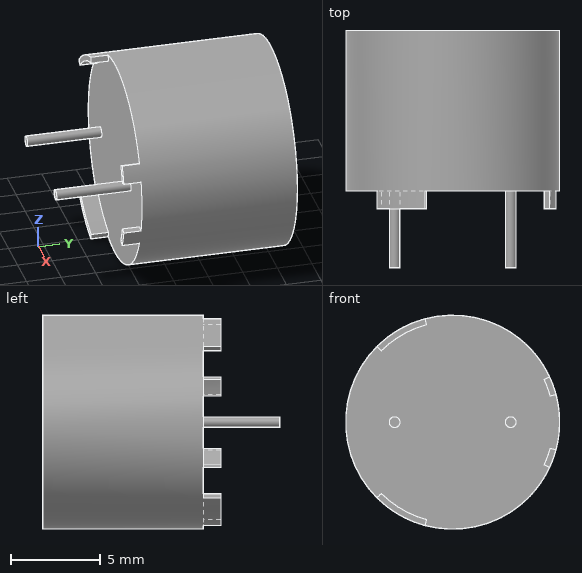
import cadquery as cq
import math

body_diameter = 12.0
body_length = 9.0
total_length = 13.3

foot_height = 1.0
foot_thickness = 0.35
wide_foot_angles = (105, 135)
narrow_foot_angles = (15, 25)

pin_diameter = 0.6
pin_pitch = 6.5
pin_length = total_length - body_length

cut_overshoot = 0.66

body_radius = body_diameter / 2
foot_inner_radius = body_radius - foot_thickness
clearing_radius = body_radius + cut_overshoot


def rim_point(radius, angle):
    """Point in the XZ plane at a polar angle in degrees."""
    return (radius * math.cos(math.radians(angle)), radius * math.sin(math.radians(angle)))


def make_foot_sector(start, end):
    """Ring sector of foot height between two angles, reaching past the wall."""
    middle = (start + end) / 2
    outer_radius = clearing_radius + cut_overshoot
    return (
        cq.Workplane("XZ")
        .moveTo(*rim_point(outer_radius, start))
        .threePointArc(rim_point(outer_radius, middle), rim_point(outer_radius, end))
        .lineTo(*rim_point(foot_inner_radius, end))
        .threePointArc(rim_point(foot_inner_radius, middle), rim_point(foot_inner_radius, start))
        .close()
        .extrude(foot_height)
    )


blank = (
    cq.Workplane("XZ", origin=(0, body_length, 0))
    .circle(body_radius)
    .extrude(body_length + foot_height)
)
clearing = cq.Workplane("XZ").circle(clearing_radius).extrude(foot_height)
for start_angle, end_angle in (wide_foot_angles, narrow_foot_angles):
    clearing = clearing.cut(make_foot_sector(start_angle, end_angle))
    clearing = clearing.cut(make_foot_sector(-end_angle, -start_angle))
housing = blank.cut(clearing)

pins = (
    cq.Workplane("XZ")
    .pushPoints([(-pin_pitch / 2, 0), (pin_pitch / 2, 0)])
    .circle(pin_diameter / 2)
    .extrude(pin_length)
)

result = housing.union(pins)